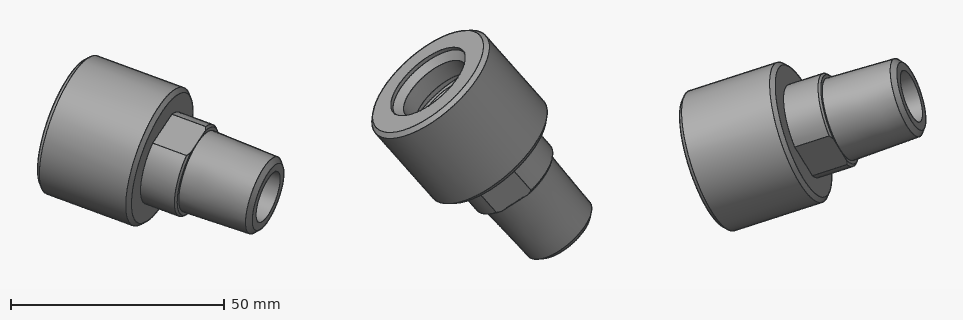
import cadquery as cq

total_length = 52.3
body_diameter = 34.54
body_length = 24.6
body_chamfer = 1.0
neck_diameter = 22.96
neck_length = 9.35
neck_chamfer = 0.5
taper_large_diameter = 20.32
taper_per_length = 1 / 16
tip_chamfer_length = 1.15
tip_chamfer_depth = 1.25

across_flats = 20.57

mouth_diameter = 21.84
mouth_land = 0.9
lead_in_depth = 2.6
socket_diameter = 18.25
socket_end_diameter = 18.1
socket_depth = 7.0
seal_chamber_diameter = 28.63
seal_chamber_floor = 10.6
bore_diameter = 12.7

seal_section_diameter = 2.54
seal_centre_diameter = 14.8
seal_sink = 0.05
seal_centre_depth = seal_chamber_floor + seal_sink - seal_section_diameter / 2

neck_end = body_length + neck_length
taper_end = total_length - tip_chamfer_length
taper_large_radius = taper_large_diameter / 2
taper_small_radius = taper_large_radius - (taper_end - neck_end) * taper_per_length / 2


def turned(points):
    """Revolve a closed (x, radius) outline about the X axis."""
    return cq.Workplane("XY").polyline(points).close().revolve(360, (0, 0, 0), (1, 0, 0))


def make_body():
    body_radius = body_diameter / 2
    return turned([
        (0, 0),
        (0, body_radius - body_chamfer),
        (body_chamfer, body_radius),
        (body_length - body_chamfer, body_radius),
        (body_length, body_radius - body_chamfer),
        (body_length, 0),
    ])


def make_neck():
    """Short round neck, chamfered at its free end, with two flats facing +Z and -Z."""
    neck_radius = neck_diameter / 2
    round_neck = turned([
        (body_length, 0),
        (body_length, neck_radius),
        (neck_end - neck_chamfer, neck_radius),
        (neck_end, neck_radius - neck_chamfer),
        (neck_end, 0),
    ])
    flat_slab = cq.Workplane("XY").box(total_length, body_diameter, across_flats)
    return round_neck.intersect(flat_slab.translate((total_length / 2, 0, 0)))


def make_tapered_end():
    return turned([
        (neck_end, 0),
        (neck_end, taper_large_radius),
        (taper_end, taper_small_radius),
        (total_length, taper_small_radius - tip_chamfer_depth),
        (total_length, 0),
    ])


def make_passage():
    """Stepped cavity: land, lead-in cone, tapered socket, wide seal chamber and through bore."""
    return turned([
        (0, 0),
        (0, mouth_diameter / 2),
        (mouth_land, mouth_diameter / 2),
        (lead_in_depth, socket_diameter / 2),
        (socket_depth, socket_end_diameter / 2),
        (socket_depth, seal_chamber_diameter / 2),
        (seal_chamber_floor, seal_chamber_diameter / 2),
        (seal_chamber_floor, bore_diameter / 2),
        (total_length, bore_diameter / 2),
        (total_length, 0),
    ])


def make_seal():
    """Round-section ring that presses slightly into the chamber floor."""
    centre_radius = seal_centre_diameter / 2
    section = cq.Workplane("XY").center(seal_centre_depth, centre_radius).circle(seal_section_diameter / 2)
    return section.revolve(360, (0, -centre_radius, 0), (1, -centre_radius, 0))


outer = make_body().union(make_neck()).union(make_tapered_end())
result = outer.cut(make_passage()).union(make_seal())